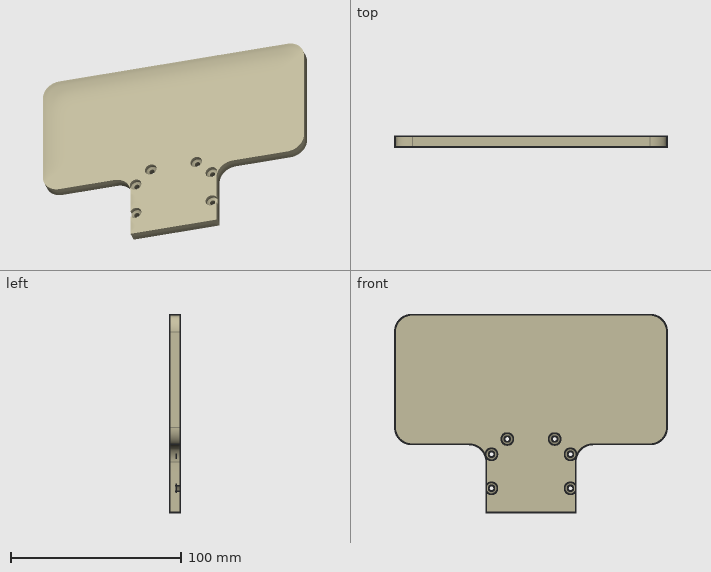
import cadquery as cq

width = 160.0
thickness = 6.4
height = 116.3

tab_width = 52.6
tab_height = 40.0
corner_radius = 10.0

hole_diameter = 3.2
bore_diameter = 7.0
bore_depth = 2.5
outer_hole_x = 23.2
inner_hole_x = 14.0
lower_hole_z = 14.2
middle_hole_z = 34.2
upper_hole_z = 43.2

hole_rows = [
    (outer_hole_x, lower_hole_z),
    (outer_hole_x, middle_hole_z),
    (inner_hole_x, upper_hole_z),
]


def make_panel():
    """Rounded panel, standing upright with its front face at Y = 0."""
    panel_height = height - tab_height
    return (
        cq.Workplane("XY")
        .box(width, thickness, panel_height, centered=(True, False, False))
        .edges("|Y")
        .fillet(corner_radius)
        .translate((0, 0, tab_height))
    )


def make_tab():
    """Straight tab that flares into the panel's lower edge with concave arcs."""
    half_tab = tab_width / 2
    flare_start_z = tab_height - corner_radius
    flare_x = half_tab + corner_radius
    overlap_z = tab_height + corner_radius
    return (
        cq.Workplane("XZ")
        .moveTo(-half_tab, 0)
        .lineTo(half_tab, 0)
        .lineTo(half_tab, flare_start_z)
        .radiusArc((flare_x, tab_height), corner_radius)
        .lineTo(flare_x, overlap_z)
        .lineTo(-flare_x, overlap_z)
        .lineTo(-flare_x, tab_height)
        .radiusArc((-half_tab, flare_start_z), corner_radius)
        .close()
        .extrude(-thickness)
    )


def cut_screw_holes(plate):
    """Cut mirrored pairs of holes, counterbored from the front face."""
    centers = [(side * x, z) for x, z in hole_rows for side in (-1, 1)]
    front = cq.Workplane("XZ").pushPoints(centers)
    holes = front.circle(hole_diameter / 2).extrude(-thickness)
    bores = front.circle(bore_diameter / 2).extrude(-bore_depth)
    return plate.cut(holes).cut(bores)


result = cut_screw_holes(make_panel().union(make_tab()))